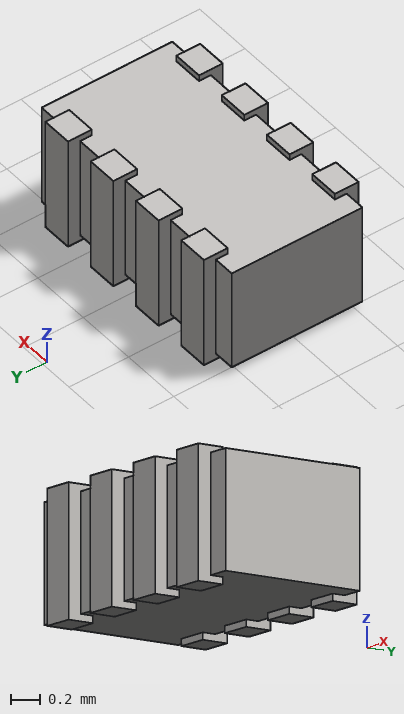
import cadquery as cq

length = 2.1
overall_width = 1.3
overall_height = 0.94

terminals_per_side = 4
terminal_pitch = 0.5
terminal_width = 0.25
terminal_reach = 0.2
side_thickness = 0.1
face_thickness = 0.05

body_width = overall_width - 2 * side_thickness
body_height = overall_height - 2 * face_thickness


def make_terminal(x, side):
    """One terminal at position x; side is -1 or +1 along Y."""
    y = side * (overall_width - terminal_reach) / 2
    block = cq.Workplane("XY").box(terminal_width, terminal_reach, overall_height)
    return block.translate((x, y, 0))


result = cq.Workplane("XY").box(length, body_width, body_height)
for side in (-1, 1):
    for index in range(terminals_per_side):
        x = (index - (terminals_per_side - 1) / 2) * terminal_pitch
        result = result.union(make_terminal(x, side))